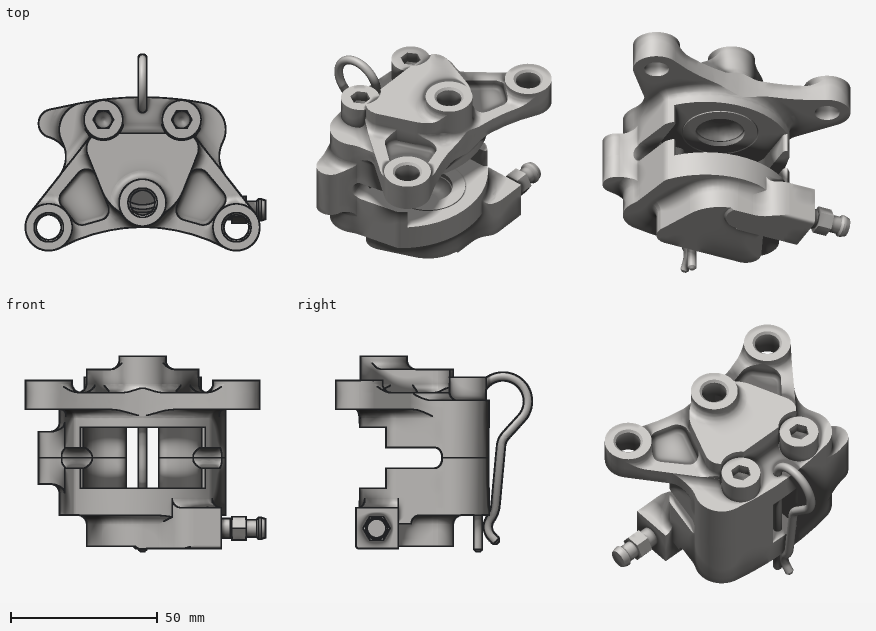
import cadquery as cq
import math


half_height = 19.55
blend = 3.0

bracket_bottom = 16.5
bracket_top = 22.25
lug_x = 32.0
lug_y = -8.4
lug_radius = 8.0
lug_top = 26.45
thread_bore = 8.5
thread_mouth = 10.0
relief_radius = 60.0
wheel_y = lug_y - math.sqrt((relief_radius + lug_radius) ** 2 - lug_x ** 2)
arm_slope = math.radians(51.8)
pocket_depth = 3.2
pocket_corner = 3.6
pocket_floor_radius = 1.5

piston_y = 9.35
piston_radius = 12.7
housing_radius = 14.8
housing_half_width = 19.1
housing_back = 23.75
housing_corner = 5.2
housing_kink_y = 16.8
housing_top = 30.2
boss_radius = 8.0
boss_top = 34.65
boss_blend = 9.0
cylinder_end = 27.0
cylinder_bevel = 0.5
inlet_bottom = 23.0

corner_x = 19.1
corner_y = 24.9
corner_radius = 9.3
back_y = 36.0
waist_radius = 11.0
waist_y = 15.7
jaw_lean = math.radians(11.5)
jaw_end_y = 4.1
jaw_radius = 4.0
front_y = -8.3

ear_x = -30.6
ear_y = 27.0
ear_radius = 4.9
ear_height = 8.95
ear_bottom_end = (-26.4, 18.4)
ear_bottom_mid = (-28.6, 20.6)

cavity_height = 10.35
cavity_half_width = 20.2
cavity_back = 23.65
cavity_corner = 7.0
cavity_lip = 1.7
jaw_tip_y = 0.6
window_half_width = 5.5
disc_radius = 92.4
disc_slot = 7.0
disc_edge_radius = 3.0

block_x = 26.9
block_front = -9.5
block_top = -17.0
block_bottom = -30.95
block_back = 5.0
block_edge_radius = 1.0
passage_end_x = 4.1
block_step_x = 5.65
block_flat_x = 17.4

bolt_x = 13.35
bolt_y = 28.3
bolt_head_radius = 6.6
bolt_head_top = 27.5
bolt_radius = 4.0
bolt_tip = -14.0
bolt_clearance = 7.0
hex_socket = 6.0
hex_depth = 4.0
hex_point = 1.7

wire_radius = 1.5
clip_loop_radius = 8.5
pin_y = 32.17
pin_tip = -31.99
clip_loop_z = 19.25
wire_chamfer = 0.8
clip_bends = [((40.18, 6.1), 6.0), ((37.91, -18.32), 9.0), ((34.25, -24.19), 4.8)]
clip_end = (38.9, -29.0)

nipple_y = -2.45
nipple_z = -24.05
nipple_hex = 8.0
nipple_depth = 8.0

far = 200.0
tall = far / 4


def prism(outline, z0, z1):
    return outline.extrude(z1 - z0).translate((0, 0, z0))


def disc(x, y, radius, z0, z1):
    return cq.Workplane("XY").center(x, y).circle(radius).extrude(z1 - z0).translate((0, 0, z0))


def foot_blend(solid, z, direction):
    """Concave blend of radius `blend` between a prism that starts at z=0 and a plane at height z."""
    slab = cq.Workplane("XY").box(far, far, blend, centered=(True, True, False)).translate((0, 0, -blend))
    flared = slab.union(solid).edges(cq.selectors.BoxSelector(
        (-far / 2 + 1, -far / 2 + 1, -0.01), (far / 2 - 1, far / 2 - 1, 0.01), boundingbox=True)).fillet(blend)
    ring = cq.Workplane("XY").box(far, far, blend, centered=(True, True, False)).intersect(flared)
    if direction < 0:
        ring = ring.mirror("XY")
    return ring.translate((0, 0, z))


waist_x = corner_x + math.sqrt((corner_radius + waist_radius) ** 2 - (corner_y - waist_y) ** 2)
waist_kink_y = waist_y + waist_radius * math.sin(jaw_lean)


def waist_point(y):
    return (waist_x - math.sqrt(waist_radius ** 2 - (y - waist_y) ** 2), y)


def crown(centre, radius, apex_y):
    """Point where an arc through (0, apex_y), symmetric about X=0, meets a corner arc tangentially."""
    rise = abs(apex_y - centre[1])
    crown_radius = (centre[0] ** 2 + rise ** 2 - radius ** 2) / (2 * (rise - radius))
    crown_y = apex_y - math.copysign(crown_radius, apex_y - centre[1])
    ratio = crown_radius / (crown_radius - radius)
    return (centre[0] * ratio, crown_y + (centre[1] - crown_y) * ratio)


def half_outline():
    back_end = crown((corner_x, corner_y), corner_radius, back_y)
    share = corner_radius / (corner_radius + waist_radius)
    corner_end = (corner_x + (waist_x - corner_x) * share, corner_y + (waist_y - corner_y) * share)
    corner_turn = math.radians(30)
    corner_mid = (corner_x + corner_radius * math.cos(corner_turn),
                  corner_y + corner_radius * math.sin(corner_turn))
    waist_mid = waist_point((waist_kink_y + corner_end[1]) / 2)
    waist_kink = waist_point(waist_kink_y)
    jaw_end = (waist_kink[0] - (waist_kink_y - jaw_end_y) * math.tan(jaw_lean), jaw_end_y)
    jaw_centre = (jaw_end[0] - jaw_radius * math.cos(jaw_lean), jaw_end[1] + jaw_radius * math.sin(jaw_lean))
    front_end = crown(jaw_centre, jaw_radius, front_y)

    def left(point):
        return (-point[0], point[1])

    return (
        cq.Workplane("XY").moveTo(*left(back_end))
        .threePointArc((0, back_y), back_end)
        .threePointArc(corner_mid, corner_end)
        .threePointArc(waist_mid, waist_kink)
        .lineTo(*jaw_end)
        .tangentArcPoint(front_end, relative=False)
        .threePointArc((0, front_y), left(front_end))
        .tangentArcPoint(left(jaw_end), relative=False)
        .lineTo(*left(waist_kink))
        .threePointArc(left(waist_mid), left(corner_end))
        .threePointArc(left(corner_mid), left(back_end))
        .close()
    )


def ear_outline():
    dx = -corner_x - ear_x
    dy = corner_y - ear_y
    lean = math.atan2(dy, dx) + math.asin((corner_radius - ear_radius) / math.hypot(dx, dy)) + math.pi / 2
    top = (ear_x + ear_radius * math.cos(lean), ear_y + ear_radius * math.sin(lean))
    body = (-corner_x + corner_radius * math.cos(lean), corner_y + corner_radius * math.sin(lean))
    return (
        cq.Workplane("XY").moveTo(*top).lineTo(*body).lineTo(-corner_x, corner_y).lineTo(*ear_bottom_end)
        .threePointArc(ear_bottom_mid, (ear_x - 1.0, ear_y - math.sqrt(ear_radius ** 2 - 1)))
        .threePointArc((ear_x - ear_radius, ear_y), top).close()
    )


def housing_outline():
    reach_x = housing_half_width - 0.2
    reach_y = housing_kink_y - piston_y
    normal = math.atan2(reach_y, reach_x) - math.acos(housing_radius / math.hypot(reach_x, reach_y))
    tangent = (housing_radius * math.cos(normal), piston_y + housing_radius * math.sin(normal))
    corner_side = housing_back - housing_corner
    diagonal = housing_corner * (1 - math.sqrt(0.5))
    return (
        cq.Workplane("XY").moveTo(*tangent)
        .lineTo(reach_x, housing_kink_y)
        .lineTo(housing_half_width, corner_side)
        .threePointArc((housing_half_width - diagonal, housing_back - diagonal),
                       (housing_half_width - housing_corner, housing_back))
        .lineTo(housing_corner - housing_half_width, housing_back)
        .threePointArc((diagonal - housing_half_width, housing_back - diagonal),
                       (-housing_half_width, corner_side))
        .lineTo(-reach_x, housing_kink_y)
        .lineTo(-tangent[0], tangent[1])
        .threePointArc((0, piston_y - housing_radius), tangent)
        .close()
    )


def bracket_outline():
    along = (math.cos(arm_slope), math.sin(arm_slope))
    outer = (-lug_x - lug_radius * along[1], lug_y + lug_radius * along[0])
    back = housing_back - 1.4
    shoulder = (outer[0] + along[0] * (back - outer[1]) / along[1], back)
    inner = (-lug_x * relief_radius / (relief_radius + lug_radius),
             wheel_y + (lug_y - wheel_y) * relief_radius / (relief_radius + lug_radius))
    lug_far = (-lug_x - lug_radius * math.sin(math.radians(30)), lug_y - lug_radius * math.cos(math.radians(30)))
    return (
        cq.Workplane("XY").moveTo(*outer).lineTo(*shoulder).lineTo(-shoulder[0], back)
        .lineTo(-outer[0], outer[1])
        .threePointArc((-lug_far[0], lug_far[1]), (-inner[0], inner[1]))
        .threePointArc((0, wheel_y + relief_radius), inner)
        .threePointArc(lug_far, outer).close()
    )


def bleed_outline():
    y0 = piston_y - housing_radius
    middle = ((block_step_x + block_flat_x) / 2, (y0 + block_front) / 2)
    return (
        cq.Workplane("XY").moveTo(passage_end_x, block_back).lineTo(passage_end_x, y0).lineTo(block_step_x, y0)
        .tangentArcPoint(middle, relative=False).tangentArcPoint((block_flat_x, block_front), relative=False)
        .lineTo(block_x, block_front).lineTo(block_x, block_back).close()
    )


def pocket_cutter():
    """Lightening pocket in the top of the -X bracket arm."""
    corners = [(-18.0, 14.72), (-29.4, 1.25), (-22.0, -8.15), (-10.25, -4.82)]
    pocket = cq.Workplane("XY").polyline(corners).close().extrude(far)
    pocket = pocket.edges("|Z").fillet(pocket_corner).faces("<Z").edges().fillet(pocket_floor_radius)
    return pocket.translate((0, 0, bracket_top - pocket_depth))


def pad_cavity():
    side_end = -12.0
    cavity = (
        cq.Workplane("XY").rect(2 * cavity_half_width, 2 * (cavity_back - side_end)).extrude(2 * cavity_height)
        .edges("|Z and >Y").fillet(cavity_corner)
        .translate((0, side_end, -cavity_height))
    )
    mouth = cq.Workplane("XY").box(far, far, 2 * cavity_height).translate((0, jaw_tip_y - far / 2, 0))
    jaw_tips = cq.selectors.BoxSelector((-cavity_half_width - 0.1, jaw_tip_y - 0.1, -far),
                                        (cavity_half_width + 0.1, jaw_tip_y + 0.1, far), boundingbox=True)
    cavity = cavity.union(mouth).edges("|Z").edges(jaw_tips).fillet(cavity_lip)
    window = cq.Workplane("XY").box(2 * window_half_width, far, 2 * cavity_height)
    cavity = cavity.union(window.translate((0, far / 2, 0)))
    cavity = cavity.edges(cq.selectors.BoxSelector(
        (-window_half_width - 0.1, cavity_back - 0.1, -far), (window_half_width + 0.1, cavity_back + 0.1, far),
        boundingbox=True)).fillet(blend)
    return cavity


def disc_clearance():
    return (
        cq.Workplane("XY").circle(disc_radius).extrude(disc_slot).edges().fillet(disc_edge_radius)
        .translate((0, wheel_y, -disc_slot / 2))
    )


def piston_bore():
    bore = disc(0, piston_y, piston_radius, cavity_height - 1, cylinder_end)
    mouth = cq.Solid.makeCone(piston_radius + cylinder_bevel, piston_radius, cylinder_bevel,
                              pnt=cq.Vector(0, piston_y, cavity_height))
    return bore.union(cq.Workplane(mouth))


def threaded_hole(x, y, top, depth):
    hole = disc(x, y, thread_bore / 2, top - depth, top)
    bevel = (thread_mouth - thread_bore) / 2
    mouth = cq.Solid.makeCone(thread_bore / 2, thread_mouth / 2, bevel, pnt=cq.Vector(x, y, top - bevel))
    return hole.union(cq.Workplane(mouth))


def bolt(x):
    head = disc(x, bolt_y, bolt_head_radius, half_height, bolt_head_top)
    shank = disc(x, bolt_y, bolt_radius, bolt_tip, half_height)
    socket = (
        cq.Workplane("XY").polygon(6, hex_socket / math.cos(math.pi / 6)).extrude(hex_depth)
        .translate((x, bolt_y, bolt_head_top - hex_depth))
    )
    point = cq.Solid.makeCone(0, hex_socket / 2, hex_point,
                              pnt=cq.Vector(x, bolt_y, bolt_head_top - hex_depth - hex_point))
    return head.union(shank).cut(socket).cut(cq.Workplane(point))


def piston():
    cup_radius = 8.4
    cup_step = 0.4
    cup_straight = 1.8
    cup_depth = 6.2
    length = 13.0
    dish_radius = 10.1
    dish_rim = 11.6
    dish_depth = 1.0
    bowl = cup_depth - cup_straight
    slant = bowl * math.sqrt(0.5)
    floor_radius = cup_radius - cup_step - bowl
    profile = (
        cq.Workplane("XZ").moveTo(0, cup_depth).lineTo(floor_radius, cup_depth)
        .threePointArc((floor_radius + slant, cup_straight + slant), (cup_radius - cup_step, cup_straight))
        .lineTo(cup_radius, cup_straight)
        .lineTo(cup_radius, 0).lineTo(piston_radius, 0)
        .lineTo(piston_radius, length).lineTo(dish_rim, length)
        .lineTo(dish_radius, length - dish_depth).lineTo(0, length - dish_depth).close()
    )
    return profile.revolve(360, (0, 0, 0), (0, 1, 0)).translate((0, piston_y, cavity_height))


def bleed_nipple():
    shank = 3.4
    shank_end = 29.9
    neck = 3.0
    neck_end = 38.9
    bead = 3.75
    bead_start = 39.6
    bead_end = 40.4
    hex_start = 30.45
    hex_end = 35.3
    tip = 42.0
    tip_radius = 3.2
    profile = (
        cq.Workplane("XY").moveTo(block_x - nipple_depth, 0).lineTo(block_x - nipple_depth, shank)
        .lineTo(shank_end, shank).lineTo(hex_start, neck).lineTo(neck_end, neck)
        .lineTo(bead_start, bead).lineTo(bead_end, bead).lineTo(tip, tip_radius).lineTo(tip, 0).close()
    )
    turned = profile.revolve(360, (0, 0, 0), (1, 0, 0))
    flats = (
        cq.Workplane("YZ").polygon(6, nipple_hex / math.cos(math.pi / 6)).extrude(hex_end - hex_start)
        .translate((hex_start, 0, 0))
    )
    return turned.union(flats).translate((0, nipple_y, nipple_z))


def bend(before, corner, after, radius):
    """Start, middle and end of the arc that rounds a corner of a path."""
    incoming = math.atan2(before[1] - corner[1], before[0] - corner[0])
    outgoing = math.atan2(after[1] - corner[1], after[0] - corner[0])
    half_angle = math.acos(math.cos(outgoing - incoming)) / 2
    length = radius / math.tan(half_angle)
    axis = math.atan2(math.sin(incoming) + math.sin(outgoing), math.cos(incoming) + math.cos(outgoing))
    depth = radius / math.sin(half_angle) - radius
    return tuple((corner[0] + reach * math.cos(angle), corner[1] + reach * math.sin(angle))
                 for reach, angle in ((length, incoming), (depth, axis), (length, outgoing)))


def spring_clip():
    loop_y = pin_y + clip_loop_radius
    leave = math.radians(-42)
    loop_end = (loop_y + clip_loop_radius * math.cos(leave), clip_loop_z + clip_loop_radius * math.sin(leave))
    path = (
        cq.Workplane("YZ").moveTo(pin_y, pin_tip).lineTo(pin_y, clip_loop_z)
        .threePointArc((loop_y, clip_loop_z + clip_loop_radius), loop_end)
    )
    corners = [loop_end] + [corner for corner, radius in clip_bends] + [clip_end]
    for index, (corner, radius) in enumerate(clip_bends):
        start, middle, end = bend(corners[index], corner, corners[index + 2], radius)
        path = path.lineTo(*start).threePointArc(middle, end)
    path = path.lineTo(*clip_end)
    wire = cq.Workplane("XY", origin=(0, pin_y, pin_tip)).circle(wire_radius).sweep(path)
    free_end = cq.selectors.NearestToPointSelector((0,) + clip_end)
    return wire.faces("<Z").chamfer(wire_chamfer).faces(free_end).chamfer(wire_chamfer)


def half_block():
    """One plain caliper half with its share of the ear, from z=0 up to the bolt pads."""
    ear = prism(ear_outline(), 0, ear_height)
    ear_blend = foot_blend(half_outline().extrude(20), ear_height, 1).intersect(prism(ear_outline(), 0, 20))
    return prism(half_outline(), 0, half_height).union(ear).union(ear_blend)


def boss_housing(height):
    """Cylinder housing together with the inlet boss, blended in plan."""
    walls = housing_outline().extrude(height).union(disc(0, 0, boss_radius, 0, height))
    junctions = cq.selectors.BoxSelector((-boss_radius, -boss_radius, -1), (boss_radius, -0.1, height + 1),
                                         boundingbox=True)
    return walls.edges("|Z").edges(junctions).fillet(boss_blend)


def junction_plan():
    """Caliper half and bracket together, blended in plan where the arms leave the waist."""
    kink = waist_point(waist_kink_y)
    arm_end = (waist_x - waist_radius * math.sin(arm_slope), waist_y - waist_radius * math.cos(arm_slope))
    web = (
        cq.Workplane("XY").moveTo(*kink).threePointArc(waist_point((kink[1] + arm_end[1]) / 2), arm_end)
        .lineTo(corner_x, arm_end[1]).lineTo(corner_x, kink[1]).close().extrude(tall)
    )
    plan = half_outline().extrude(tall).union(bracket_outline().extrude(tall))
    return plan.union(web).union(web.mirror("YZ"))


def outer_half():
    bracket = prism(bracket_outline(), bracket_bottom, bracket_top)
    housing_plan = boss_housing(tall)
    bracket_space = prism(bracket_outline(), bracket_bottom, tall)
    half_space = junction_plan()
    web = half_space.intersect(cq.Workplane("XY").box(far, far, 2 * half_height))
    web = web.cut(cq.Workplane("XY").box(far, far, 2 * bracket_bottom))

    body = half_block().union(bracket).union(web)
    body = body.union(boss_housing(housing_top - bracket_bottom).translate((0, 0, bracket_bottom)))
    body = body.union(disc(0, 0, boss_radius, bracket_bottom, boss_top))
    body = body.union(foot_blend(housing_plan, bracket_top, 1).intersect(bracket_space))
    body = body.union(foot_blend(disc(0, 0, boss_radius, 0, 20), housing_top, 1).intersect(housing_plan))
    pad_blend = foot_blend(housing_outline().extrude(20), half_height, 1)
    arm_blend = foot_blend(bracket_outline().extrude(20), half_height, 1)
    arm_blend = arm_blend.intersect(cq.Workplane("XY").box(far, far, 2 * bracket_top))
    body = body.union(pad_blend.intersect(half_space)).union(arm_blend.intersect(half_space))
    under_blend = foot_blend(half_outline().extrude(20), bracket_bottom, -1)
    body = body.union(under_blend.intersect(half_space))
    for side in (-1, 1):
        x = side * lug_x
        body = body.union(disc(x, lug_y, lug_radius, bracket_bottom, lug_top))
        body = body.union(foot_blend(disc(x, lug_y, lug_radius, 0, 20), bracket_top, 1).intersect(bracket_space))
    pocket = pocket_cutter().cut(housing_plan)
    return body.cut(pocket).cut(pocket.mirror("YZ"))


def inner_half():
    block = prism(bleed_outline(), block_bottom, block_top)
    rounding = (
        cq.Workplane("XY").box(far, far, far).edges("|X and <Y and <Z").fillet(block_edge_radius)
        .translate((0, block_front + far / 2, block_bottom + far / 2))
    )
    block = block.intersect(rounding)

    front = piston_y - housing_radius
    skirt = cq.Workplane("XY").box(block_x, housing_radius, far, centered=False).translate((0, front, 0))
    plan = housing_outline().extrude(far).union(skirt)
    level = prism(cq.Workplane("XY").rect(far, far), -housing_top, -half_height)
    step = cq.Workplane("XY").box(block_step_x, housing_radius, far, centered=False).translate((0, front, 0))
    cylinder = housing_outline().extrude(far).union(step).translate((0, 0, -far / 2))
    passage_radius = (block_back - block_front) / 2
    rise = -housing_top - block_bottom
    pad = cq.Workplane(cq.Solid.makeCone(
        passage_radius - rise, passage_radius, rise,
        pnt=cq.Vector(passage_end_x, (block_back + block_front) / 2, block_bottom)))

    body = half_block().mirror("XY")
    body = body.union(cylinder.intersect(level)).union(pad.intersect(cylinder)).union(block)
    body = body.union(foot_blend(plan, -half_height, -1).intersect(prism(half_outline(), -tall, 0)))
    body = body.union(foot_blend(half_outline().extrude(20), block_top, 1)
                      .intersect(prism(bleed_outline(), -tall, tall)))
    return body


bolts = [bolt(side * bolt_x) for side in (-1, 1)]
clip = spring_clip()
nipple = bleed_nipple()
upper_piston = piston()
lower_piston = upper_piston.mirror("XY")

upper = outer_half().cut(pad_cavity()).cut(disc_clearance()).cut(piston_bore())
upper = upper.cut(threaded_hole(0, 0, boss_top, boss_top - inlet_bottom))
for side in (-1, 1):
    upper = upper.cut(threaded_hole(side * lug_x, lug_y, lug_top, far / 10))
    upper = upper.cut(disc(side * bolt_x, bolt_y, bolt_clearance, half_height, tall))
    upper = upper.cut(disc(side * bolt_x, bolt_y, bolt_radius, 0, half_height))
upper = upper.cut(clip)

lower = inner_half().cut(pad_cavity()).cut(disc_clearance()).cut(piston_bore().mirror("XY"))
for side in (-1, 1):
    lower = lower.cut(disc(side * bolt_x, bolt_y, bolt_radius, bolt_tip, 0))
lower = lower.cut(clip).cut(nipple)

bodies = [upper, lower, clip, nipple, upper_piston, lower_piston] + bolts
result = cq.Compound.makeCompound([solid for body in bodies for solid in body.solids().vals()])